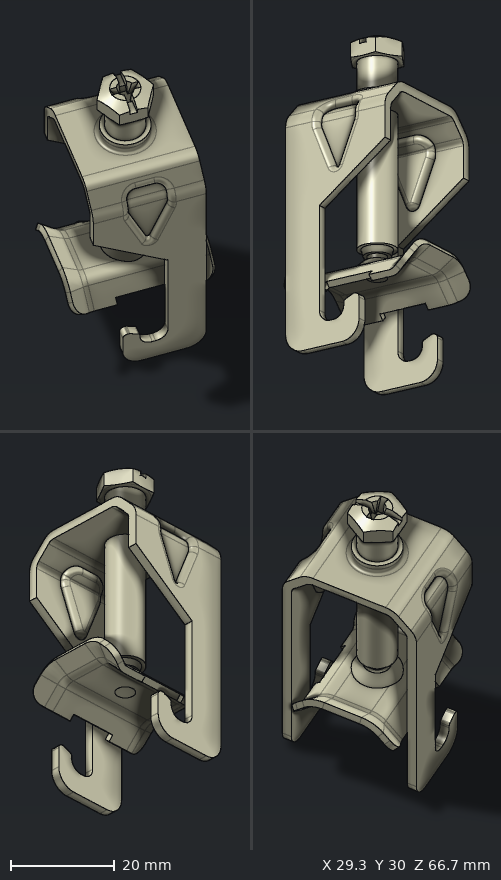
import cadquery as cq
import math

FRAME_WIDTH = 29.3
FRAME_DEPTH = 23.1
FRAME_HEIGHT = 53.35
SHEET = 2.0
BEND_RADIUS = 4.0
TOP_FLAT_HALF = 7.95
BEND_ANGLE = 45.0

LEG_FRONT_Y = 3.7
CHEEK_BOTTOM_Z = 40.0
CHEEK_ROOT_Z = 29.1
HOOK_FRONT_Y = -5.55
HOOK_TOP_Z = 9.4
HOOK_LIP_Y = -2.0
HOOK_LIP_Z = 8.4
HOOK_FLAT = 1.35
HOOK_FRONT_ROUND = 1.0
HOOK_TIP_ROUND = 0.6
HOOK_SEAT_Z = 5.0
HOOK_SEAT_DIAMETER = 5.0
FOOT_RADIUS = 4.0

COLLAR_DIAMETER = 10.0
COLLAR_HEIGHT = 2.0
COLLAR_FILLET = 1.0

PANEL_DEPTH = 1.4
PANEL_EDGE = 1.55
PANEL_RIM_RADIUS = 1.35
BOSS_MARGIN = 1.1
BOSS_ROUND = 1.3
PANEL_TOP_RADIUS = 3.7
PANEL_TIP_RADIUS = 2.0
PANEL_TOP_HALF = 1.95
PANEL_TOP_Z = 46.2
PANEL_TIP_Z = 37.1

TOP_Z = 66.7
HEAD_FLATS = 10.0
HEAD_HEIGHT = 4.5
CORNER_TURN = 30.0
HEAD_CROWN_DIAMETER = 6.0
HEAD_CROWN_ANGLE = 25.0
HEAD_BASE_RISE = 0.17
SHANK_DIAMETER = 8.0
SHANK_END_Z = 23.7
SHOULDER_TOP_DIAMETER = 6.35
SHOULDER_END_DIAMETER = 5.55
SHOULDER_END_Z = 22.3
NECK_DIAMETER = 4.0
SLOT_WIDTH = 1.5
SLOT_DEPTH = 1.9
CROSS_DEPTH = 3.0
CROSS_TOP_SPAN = 6.0
CROSS_FLOOR_SPAN = 3.1
CROSS_CORE_TOP = 3.5
CROSS_CORE_FLOOR = 2.15

SADDLE_LENGTH = 30.0
SADDLE_SHEET = 1.4
SADDLE_TOP_Z = 19.15
SADDLE_FLAT_HALF = 4.1
SADDLE_INNER_RADIUS = 3.0
SADDLE_BEND_ANGLE = 45.0
WING_LENGTH = 5.15
WING_CORNER_RADIUS = 3.1
LIP_ANGLE = 33.0
LIP_BEND_RADIUS = 2.0
LIP_START_Y = 10.0
NOTCH_LENGTH = 10.55
NOTCH_DEPTH = 1.5
DOME_TOP_DIAMETER = 5.6
DOME_BASE_DIAMETER = 10.0
DOME_TOP_Z = 21.1


def polar(center, radius, angle):
    """Point at an angle (degrees) on a circle."""
    turn = math.radians(angle)
    return (center[0] + radius * math.cos(turn), center[1] + radius * math.sin(turn))


def mirrored(point):
    """Point reflected to the other side of the vertical centre line."""
    return (-point[0], point[1])


def turned(profile):
    """Solid of revolution about the Z axis of an XZ profile that starts and ends on it."""
    return profile.close().revolve(360, (0, 0, 0), (0, 1, 0))


def round_corners(plate, corners, radius):
    """Fillet the edges along X of a plate that pass through the given (Y, Z) corners."""
    for y, z in corners:
        edge = cq.selectors.NearestToPointSelector((0, y, z))
        plate = plate.edges(edge).fillet(radius)
    return plate


LEG_BEND_Z = FRAME_HEIGHT - BEND_RADIUS - (FRAME_WIDTH / 2 - BEND_RADIUS - TOP_FLAT_HALF)
TOP_BEND_CENTER = (TOP_FLAT_HALF, FRAME_HEIGHT - BEND_RADIUS)
LEG_BEND_CENTER = (FRAME_WIDTH / 2 - BEND_RADIUS, LEG_BEND_Z)


def channel(inset):
    """Solid inside the bent outer surface moved inward by an inset."""
    radius = BEND_RADIUS - inset
    half_angle = BEND_ANGLE / 2
    half = (
        cq.Workplane("XZ")
        .moveTo(0, 0)
        .lineTo(0, FRAME_HEIGHT - inset)
        .lineTo(TOP_FLAT_HALF, FRAME_HEIGHT - inset)
        .threePointArc(
            polar(TOP_BEND_CENTER, radius, 90 - half_angle),
            polar(TOP_BEND_CENTER, radius, 90 - BEND_ANGLE),
        )
        .lineTo(*polar(LEG_BEND_CENTER, radius, BEND_ANGLE))
        .threePointArc(
            polar(LEG_BEND_CENTER, radius, half_angle),
            polar(LEG_BEND_CENTER, radius, 0),
        )
        .lineTo(FRAME_WIDTH / 2 - inset, 0)
        .close()
        .extrude(FRAME_DEPTH / 2, both=True)
    )
    return half.union(half.mirror("YZ"))


def side_plate():
    """Side outline of the legs, through the full width of the frame."""
    back = FRAME_DEPTH / 2
    outline = (
        cq.Workplane("YZ")
        .moveTo(back, FRAME_HEIGHT)
        .lineTo(back, 0)
        .lineTo(HOOK_FRONT_Y, 0)
        .lineTo(HOOK_FRONT_Y, HOOK_TOP_Z)
        .lineTo(HOOK_FRONT_Y + HOOK_FLAT, HOOK_TOP_Z)
        .lineTo(HOOK_LIP_Y, HOOK_LIP_Z)
        .lineTo(HOOK_LIP_Y, HOOK_SEAT_Z)
        .lineTo(LEG_FRONT_Y, HOOK_SEAT_Z)
        .lineTo(LEG_FRONT_Y, CHEEK_ROOT_Z)
        .lineTo(-back, CHEEK_BOTTOM_Z)
        .lineTo(-back, FRAME_HEIGHT)
        .close()
        .extrude(FRAME_WIDTH / 2, both=True)
    )
    outline = round_corners(outline, [(back, 0), (HOOK_FRONT_Y, 0)], FOOT_RADIUS)
    seat_corners = [(HOOK_LIP_Y, HOOK_SEAT_Z), (LEG_FRONT_Y, HOOK_SEAT_Z)]
    outline = round_corners(outline, seat_corners, HOOK_SEAT_DIAMETER / 2)
    outline = round_corners(outline, [(HOOK_FRONT_Y, HOOK_TOP_Z)], HOOK_FRONT_ROUND)
    tip_corners = [
        (HOOK_FRONT_Y + HOOK_FLAT, HOOK_TOP_Z),
        (HOOK_LIP_Y, HOOK_LIP_Z),
    ]
    return round_corners(outline, tip_corners, HOOK_TIP_ROUND)


def panel_outline(plane, inset):
    """Rounded triangle of the panel before folding, moved inward from its rim by an inset."""
    top_radius = PANEL_TOP_RADIUS - inset
    tip_radius = PANEL_TIP_RADIUS - inset
    top = (PANEL_TOP_HALF, PANEL_TOP_Z)
    tip = (0, PANEL_TIP_Z)
    rise = PANEL_TOP_Z - PANEL_TIP_Z
    distance = math.hypot(PANEL_TOP_HALF, rise)
    side = math.degrees(
        math.atan2(rise, PANEL_TOP_HALF) - math.acos((tip_radius - top_radius) / distance)
    )

    return (
        cq.Workplane(plane)
        .moveTo(*polar(tip, tip_radius, side))
        .lineTo(*polar(top, top_radius, side))
        .threePointArc(polar(top, top_radius, (side + 90) / 2), polar(top, top_radius, 90))
        .lineTo(*mirrored(polar(top, top_radius, 90)))
        .threePointArc(
            mirrored(polar(top, top_radius, (side + 90) / 2)),
            mirrored(polar(top, top_radius, side)),
        )
        .lineTo(*mirrored(polar(tip, tip_radius, side)))
        .threePointArc(polar(tip, tip_radius, -90), polar(tip, tip_radius, side))
        .close()
    )


def folded(tool):
    """Wrap a tool standing on the +X leg around the leg bend and up the shoulder."""
    bend_start = (LEG_BEND_CENTER[0], 0, LEG_BEND_Z)
    bend_end = (LEG_BEND_CENTER[0], 0.7, LEG_BEND_Z)
    below = cq.Workplane("XY").box(
        2 * FRAME_WIDTH, 2 * FRAME_DEPTH, LEG_BEND_Z, centered=(True, True, False)
    )
    leg_part = tool.intersect(below)
    shoulder_part = tool.cut(below).rotate(bend_start, bend_end, -BEND_ANGLE)
    section = leg_part.faces(">Z")
    wrap = cq.Solid.revolve(
        section.val(), -BEND_ANGLE, cq.Vector(*bend_start), cq.Vector(*bend_end)
    )
    return leg_part.union(cq.Workplane(obj=wrap)).union(shoulder_part)


def panel_pocket():
    """Outer recess of the panel on the +X leg, with its rounded rim."""
    face = cq.Plane(origin=(FRAME_WIDTH / 2, 0, 0), xDir=(0, 1, 0), normal=(1, 0, 0))
    slab = (
        cq.Workplane(face)
        .center(0, PANEL_TOP_Z)
        .rect(FRAME_DEPTH, FRAME_HEIGHT)
        .extrude(-PANEL_DEPTH)
    )
    floor = panel_outline(face, PANEL_EDGE).extrude(-PANEL_DEPTH)
    tip_edge = cq.selectors.NearestToPointSelector((FRAME_WIDTH / 2, 0, PANEL_TIP_Z))
    rim = slab.cut(floor).faces(">X").edges(tip_edge).fillet(PANEL_RIM_RADIUS)
    return folded(slab.cut(rim))


def panel_boss():
    """Inner bulge of the panel on the +X leg."""
    back = cq.Plane(
        origin=(FRAME_WIDTH / 2 - SHEET / 2, 0, 0), xDir=(0, 1, 0), normal=(1, 0, 0)
    )
    bulge = panel_outline(back, PANEL_EDGE - BOSS_MARGIN).extrude(-PANEL_DEPTH - SHEET / 2)
    return folded(bulge.faces("<X").edges().fillet(BOSS_ROUND))


def make_frame():
    body = channel(0).cut(channel(SHEET)).intersect(side_plate())

    boss = panel_boss()
    pocket = panel_pocket()
    body = body.union(boss).union(boss.mirror("YZ"))
    body = body.cut(pocket).cut(pocket.mirror("YZ"))

    foot_radius = COLLAR_DIAMETER / 2 + COLLAR_FILLET
    collar_radius = COLLAR_DIAMETER / 2
    fillet_center = (foot_radius, FRAME_HEIGHT + COLLAR_FILLET)
    collar = turned(
        cq.Workplane("XZ")
        .moveTo(0, FRAME_HEIGHT - SHEET)
        .lineTo(foot_radius, FRAME_HEIGHT - SHEET)
        .lineTo(foot_radius, FRAME_HEIGHT)
        .threePointArc(
            polar(fillet_center, COLLAR_FILLET, 225),
            (collar_radius, FRAME_HEIGHT + COLLAR_FILLET),
        )
        .lineTo(collar_radius, FRAME_HEIGHT + COLLAR_HEIGHT)
        .lineTo(0, FRAME_HEIGHT + COLLAR_HEIGHT)
    )
    bore = (
        cq.Workplane("XY", origin=(0, 0, FRAME_HEIGHT - SHEET))
        .circle(SHANK_DIAMETER / 2)
        .extrude(SHEET + COLLAR_HEIGHT)
    )
    return body.union(collar).cut(bore)


SADDLE_BOTTOM_Z = SADDLE_TOP_Z - SADDLE_SHEET


def bolt_head():
    base_z = TOP_Z - HEAD_HEIGHT
    corner_radius = HEAD_FLATS / math.sqrt(3)
    crown_radius = HEAD_CROWN_DIAMETER / 2
    crown_drop = (corner_radius - crown_radius) * math.tan(math.radians(HEAD_CROWN_ANGLE))
    hexagon = (
        cq.Workplane("XY", origin=(0, 0, base_z))
        .polygon(6, 2 * corner_radius)
        .extrude(HEAD_HEIGHT)
        .rotate((0, 0, 0), (0, 0, 1), CORNER_TURN)
    )
    cone_limits = turned(
        cq.Workplane("XZ")
        .polyline([
            (0, base_z),
            (HEAD_FLATS / 2, base_z),
            (corner_radius, base_z + HEAD_BASE_RISE),
            (corner_radius, TOP_Z - crown_drop),
            (crown_radius, TOP_Z),
            (0, TOP_Z),
        ])
    )
    return hexagon.intersect(cone_limits)


def drive_recess():
    """Straight slot along X combined with a tapered cross recess."""
    slot = cq.Workplane("XY").box(
        2 * HEAD_FLATS, SLOT_WIDTH, SLOT_DEPTH, centered=(True, True, False)
    ).translate((0, 0, TOP_Z - SLOT_DEPTH))
    floor_z = TOP_Z - CROSS_DEPTH
    arm = (
        cq.Workplane("XZ")
        .polyline([
            (-CROSS_TOP_SPAN / 2, TOP_Z),
            (-CROSS_FLOOR_SPAN / 2, floor_z),
            (CROSS_FLOOR_SPAN / 2, floor_z),
            (CROSS_TOP_SPAN / 2, TOP_Z),
        ])
        .close()
        .extrude(SLOT_WIDTH / 2, both=True)
    )
    core = (
        cq.Workplane("XY", origin=(0, 0, floor_z))
        .circle(CROSS_CORE_FLOOR / 2)
        .workplane(offset=CROSS_DEPTH)
        .circle(CROSS_CORE_TOP / 2)
        .loft()
    )
    return slot.union(arm).union(arm.rotate((0, 0, 0), (0, 0, 1), 90)).union(core)


def make_bolt():
    stem = turned(
        cq.Workplane("XZ")
        .polyline([
            (0, TOP_Z - HEAD_HEIGHT),
            (SHANK_DIAMETER / 2, TOP_Z - HEAD_HEIGHT),
            (SHANK_DIAMETER / 2, SHANK_END_Z),
            (SHOULDER_TOP_DIAMETER / 2, SHANK_END_Z),
            (SHOULDER_END_DIAMETER / 2, SHOULDER_END_Z),
            (NECK_DIAMETER / 2, SHOULDER_END_Z),
            (NECK_DIAMETER / 2, SADDLE_BOTTOM_Z),
            (0, SADDLE_BOTTOM_Z),
        ])
    )
    return stem.union(bolt_head().cut(drive_recess()))


SADDLE_BEND_Z = SADDLE_BOTTOM_Z - SADDLE_INNER_RADIUS


def saddle_section(x):
    """Cross-section of the sheet in a YZ plane: a flat strip with turned-up ends."""
    bend_center = (LIP_START_Y, SADDLE_TOP_Z + LIP_BEND_RADIUS)
    outer_radius = LIP_BEND_RADIUS + SADDLE_SHEET
    lip = math.radians(LIP_ANGLE)
    bend_end = polar(bend_center, LIP_BEND_RADIUS, LIP_ANGLE - 90)
    outer_bend_end = polar(bend_center, outer_radius, LIP_ANGLE - 90)
    tip_length = (SADDLE_LENGTH / 2 - outer_bend_end[0]) / math.cos(lip)
    tip = polar(bend_end, tip_length, LIP_ANGLE)
    outer_tip = polar(outer_bend_end, tip_length, LIP_ANGLE)

    bend_middle = polar(bend_center, LIP_BEND_RADIUS, LIP_ANGLE / 2 - 90)
    outer_bend_middle = polar(bend_center, outer_radius, LIP_ANGLE / 2 - 90)
    return (
        cq.Workplane("YZ", origin=(x, 0, 0))
        .moveTo(-LIP_START_Y, SADDLE_TOP_Z)
        .lineTo(LIP_START_Y, SADDLE_TOP_Z)
        .threePointArc(bend_middle, bend_end)
        .lineTo(*tip)
        .lineTo(*outer_tip)
        .lineTo(*outer_bend_end)
        .threePointArc(outer_bend_middle, (LIP_START_Y, SADDLE_BOTTOM_Z))
        .lineTo(-LIP_START_Y, SADDLE_BOTTOM_Z)
        .threePointArc(mirrored(outer_bend_middle), mirrored(outer_bend_end))
        .lineTo(*mirrored(outer_tip))
        .lineTo(*mirrored(tip))
        .lineTo(*mirrored(bend_end))
        .threePointArc(mirrored(bend_middle), (-LIP_START_Y, SADDLE_TOP_Z))
        .close()
    )


def wing():
    """Straight wing of the +X side, with rounded corners and a notched edge."""
    blank = saddle_section(SADDLE_FLAT_HALF).extrude(WING_LENGTH)
    blank = blank.faces(">X").edges(">Y or <Y").fillet(WING_CORNER_RADIUS)
    notch = (
        cq.Workplane("XY")
        .box(2 * NOTCH_DEPTH, NOTCH_LENGTH, 2 * SADDLE_SHEET)
        .translate((SADDLE_FLAT_HALF + WING_LENGTH, 0, SADDLE_BOTTOM_Z))
    )
    level = blank.cut(notch)
    bend_axis = (SADDLE_FLAT_HALF, 0, SADDLE_BEND_Z)
    return level.rotate(bend_axis, (SADDLE_FLAT_HALF, 1, SADDLE_BEND_Z), SADDLE_BEND_ANGLE)


def make_saddle():
    body = saddle_section(-SADDLE_FLAT_HALF).extrude(2 * SADDLE_FLAT_HALF)
    bend = saddle_section(SADDLE_FLAT_HALF).revolve(
        SADDLE_BEND_ANGLE, (0, SADDLE_BEND_Z, 0), (1, SADDLE_BEND_Z, 0)
    )
    side = bend.union(wing())
    body = body.union(side).union(side.mirror("YZ"))

    dome_slope = (DOME_BASE_DIAMETER - DOME_TOP_DIAMETER) / 2 / (DOME_TOP_Z - SADDLE_TOP_Z)
    skirt_z = SADDLE_TOP_Z - SADDLE_SHEET / 2
    skirt_radius = DOME_TOP_DIAMETER / 2 + dome_slope * (DOME_TOP_Z - skirt_z)
    dome = (
        cq.Workplane("XY", origin=(0, 0, skirt_z))
        .circle(skirt_radius)
        .workplane(offset=DOME_TOP_Z - skirt_z)
        .circle(DOME_TOP_DIAMETER / 2)
        .loft()
    )
    neck_hole = (
        cq.Workplane("XY", origin=(0, 0, SADDLE_BOTTOM_Z))
        .circle(NECK_DIAMETER / 2)
        .extrude(DOME_TOP_Z - SADDLE_BOTTOM_Z)
    )
    return body.union(dome).cut(neck_hole)


frame = make_frame()
bolt = make_bolt()
saddle = make_saddle()

result = cq.Compound.makeCompound([
    frame.solids().val(),
    bolt.solids().val(),
    saddle.solids().val(),
])